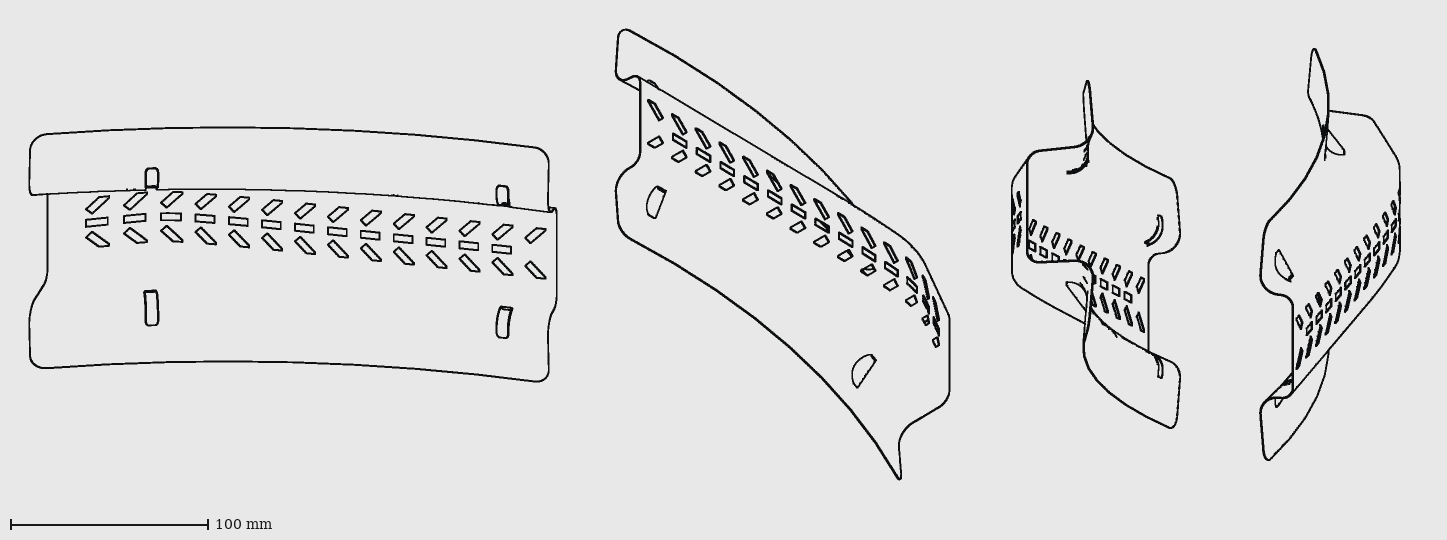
import cadquery as cq
import math

LENGTH = 258.7
HEIGHT = 129.4
THICKNESS = 0.5
CORNER_RADIUS = 7.8
MARGIN = 10.3
FAR = 103.5

FLAT_START_X = 116.5
SHALLOW_BEND_END = (67.3, -1.8)
INCLINE_END = (41.5, -9.3)
INCLINE_START = (0.0, -32.5)

ARM_HALF_HEIGHT = 28.0
ARM_SPREAD = 0.03
BACK_BEND_RADIUS = 6.5
FLANGE_BEND_RADIUS = 9.0

FLANGE_RADIUS = 483.8
FLANGE_ROOT_Z = 38.8
FLANGE_LEAN = 0.08
FLANGE_APEX = (220.0, -16.0)
AXIS_X = FLANGE_APEX[0]
AXIS_Y = FLANGE_APEX[1] - FLANGE_RADIUS

RIBS = [(57.7, 10.5, 44.0), (234.5, 7.5, 42.5)]
RIB_WIDTH = 6.7
RIB_EDGE_RADIUS = 1.8
RIB_BASE_Z = 29.5
RIB_DEPTH = 6.5

SLOT_COLUMNS = 14
FIRST_SLOT_X = 17.5
LAST_SLOT_X = 242.1
SLOT_PITCH = (LAST_SLOT_X - FIRST_SLOT_X) / (SLOT_COLUMNS - 1)
SLOT_WIDTH = 4.0
STRAIGHT_SLOT_LENGTH = 9.8
ANGLED_SLOT_LENGTH = 10.5
ANGLED_SLOT_TIP_Z = 7.8
ANGLED_SLOT_TOP_Z = 13.7


def along_incline(x):
    """Point on the line of the inclined run at a given x."""
    slope = (INCLINE_END[1] - INCLINE_START[1]) / (INCLINE_END[0] - INCLINE_START[0])
    return (x, INCLINE_START[1] + slope * (x - INCLINE_START[0]))


def is_back_bend(edge):
    """True for the two long edges where the back face meets the arms."""
    middle = edge.positionAt(0.5)
    return 0 < middle.x < LENGTH and middle.y > -FAR / 2 and abs(middle.z) > ARM_HALF_HEIGHT / 2


def channel(inset):
    """Space inside the channel, its walls moved inwards by the inset."""
    plan = (
        cq.Workplane("XY", origin=(0, -inset, -HEIGHT / 2))
        .moveTo(-MARGIN, -FAR)
        .lineTo(LENGTH + MARGIN, -FAR)
        .lineTo(LENGTH + MARGIN, 0)
        .lineTo(FLAT_START_X, 0)
        .tangentArcPoint(SHALLOW_BEND_END, relative=False)
        .tangentArcPoint(INCLINE_END, relative=False)
        .lineTo(*along_incline(-MARGIN))
        .close()
        .extrude(HEIGHT)
    )
    half_back = ARM_HALF_HEIGHT - inset - ARM_SPREAD * MARGIN
    half_front = ARM_HALF_HEIGHT - inset + ARM_SPREAD * FAR
    arms = (
        cq.Workplane("YZ", origin=(-MARGIN, 0, 0))
        .polyline([(MARGIN, -half_back), (MARGIN, half_back), (-FAR, half_front), (-FAR, -half_front)])
        .close()
        .extrude(LENGTH + 2 * MARGIN)
    )
    body = plan.intersect(arms)
    return body.edges().filter(is_back_bend).fillet(BACK_BEND_RADIUS - inset)


def flange_space(inset):
    """Space in front of the two leaning flanges, made by revolving about their axis."""
    waist = FLANGE_RADIUS + THICKNESS - inset - FLANGE_LEAN * FLANGE_ROOT_Z
    rim = waist + FLANGE_LEAN * HEIGHT / 2
    return (
        cq.Workplane("XZ")
        .polyline([(0, -HEIGHT / 2), (rim, -HEIGHT / 2), (waist, 0), (rim, HEIGHT / 2), (0, HEIGHT / 2)])
        .close()
        .revolve(360, (0, 0), (0, 1))
        .translate((AXIS_X, AXIS_Y, 0))
    )


def is_flange_bend(edge):
    """True for the edges where the arms run into the flanges."""
    middle = edge.positionAt(0.5)
    radius = math.hypot(middle.x - AXIS_X, middle.y - AXIS_Y)
    near_flange = abs(radius - FLANGE_RADIUS) < FLANGE_BEND_RADIUS
    return near_flange and 0 < middle.x < LENGTH and ARM_HALF_HEIGHT / 2 < abs(middle.z) < FLANGE_ROOT_Z


def rib(x, reach, top, inset):
    """Wedge across the upper flange bend, square to the flange and moved inwards by the inset."""
    root = FLANGE_RADIUS + THICKNESS
    profile = [
        (root + reach, RIB_BASE_Z),
        (root, top),
        (root - RIB_DEPTH, top),
        (root - RIB_DEPTH, RIB_BASE_Z - RIB_DEPTH),
        (root + reach, RIB_BASE_Z - RIB_DEPTH),
    ]
    angle = math.degrees(math.asin((AXIS_X - x) / root))
    return (
        cq.Workplane("YZ")
        .polyline(profile)
        .close()
        .offset2D(-inset, "intersection")
        .extrude(RIB_WIDTH / 2 - inset, both=True)
        .edges("not(|X or |Y or |Z)")
        .fillet(RIB_EDGE_RADIUS - inset)
        .rotate((0, 0, 0), (0, 0, 1), angle)
        .translate((AXIS_X, AXIS_Y, 0))
    )


def front_space(inset):
    """Everything in front of the sheet; the inset picks the back or the front surface."""
    body = channel(inset).union(flange_space(inset))
    body = body.edges().filter(is_flange_bend).fillet(FLANGE_BEND_RADIUS + inset)
    for x, reach, top in RIBS:
        upper_rib = rib(x, reach, top, inset)
        body = body.union(upper_rib, clean=False).union(upper_rib.mirror("XY"), clean=False)
    return body


def blank():
    """Block with rounded corners that trims the sheet to its outline."""
    return (
        cq.Workplane("XY")
        .box(LENGTH, 2 * FAR, HEIGHT)
        .edges("|Y")
        .fillet(CORNER_RADIUS)
        .translate((LENGTH / 2, 0, 0))
    )


def straight_slot(x):
    """Cutter for a level slot whose left end is at x."""
    return (
        cq.Workplane("XZ", origin=(x + STRAIGHT_SLOT_LENGTH / 2, 0, 0))
        .rect(STRAIGHT_SLOT_LENGTH, SLOT_WIDTH)
        .extrude(FAR / 2, both=True)
    )


def angled_slot(x):
    """Cutter for an upper slot rising at 45 degrees from x, its far end cut off level and upright."""
    side = SLOT_WIDTH * math.sqrt(0.5)
    heel_z = ANGLED_SLOT_TIP_Z - side
    outline = [
        (0, ANGLED_SLOT_TIP_Z),
        (side, heel_z),
        (ANGLED_SLOT_LENGTH, heel_z + ANGLED_SLOT_LENGTH - side),
        (ANGLED_SLOT_LENGTH, ANGLED_SLOT_TOP_Z),
        (ANGLED_SLOT_TOP_Z - ANGLED_SLOT_TIP_Z, ANGLED_SLOT_TOP_Z),
    ]
    return cq.Workplane("XZ", origin=(x, 0, 0)).polyline(outline).close().extrude(FAR / 2, both=True)


def slots():
    """Cutters for all slots; the last column has no straight slot."""
    cutters = cq.Workplane("XY")
    for column in range(SLOT_COLUMNS):
        x = FIRST_SLOT_X + column * SLOT_PITCH
        upper_slot = angled_slot(x)
        cutters = cutters.add(upper_slot).add(upper_slot.mirror("XY"))
        if column < SLOT_COLUMNS - 1:
            cutters = cutters.add(straight_slot(x))
    return cq.Workplane(cq.Compound.makeCompound(cutters.vals()))


sheet = front_space(0).intersect(blank(), clean=False).cut(front_space(THICKNESS), clean=False)
result = sheet.cut(slots(), clean=False)